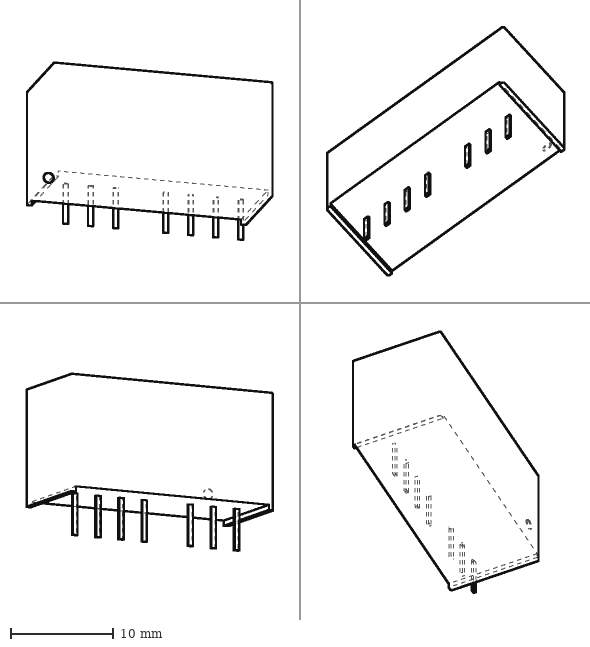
import cadquery as cq

LENGTH = 22.3
WIDTH = 9.6
TOTAL_HEIGHT = 15.3
EDGE_RADIUS = 0.2
FOOT_SIZE = 0.51

PIN_WIDTH = 0.5
PIN_THICKNESS = 0.25
PIN_LENGTH = 4.1
PIN_PITCH = 2.55
PIN_ROW_Y = 1.25
PIN_POSITIONS = 8
EMPTY_POSITION = 3

MARKER_DIAMETER = 1.0
MARKER_DEPTH = 0.11
MARKER_HEIGHT = 2.5

UNDERSIDE_Z = PIN_LENGTH
FOOT_BOTTOM_Z = UNDERSIDE_Z - FOOT_SIZE
FRONT_Y = -WIDTH / 2
FIRST_PIN_X = -PIN_PITCH * (PIN_POSITIONS - 1) / 2


def make_marker():
    """Disc that fills the recess in the front face, above the first pin."""
    return (
        cq.Workplane("XZ", origin=(FIRST_PIN_X, FRONT_Y, UNDERSIDE_Z + MARKER_HEIGHT))
        .circle(MARKER_DIAMETER / 2)
        .extrude(-MARKER_DEPTH)
    )


def make_housing():
    """Rounded block with a channel between the feet and a recess for the marker."""
    block = (
        cq.Workplane("XY", origin=(0, 0, FOOT_BOTTOM_Z))
        .rect(LENGTH, WIDTH)
        .extrude(TOTAL_HEIGHT - FOOT_BOTTOM_Z)
        .edges("|Z or >Z")
        .fillet(EDGE_RADIUS)
    )
    channel = (
        cq.Workplane("XY", origin=(0, 0, FOOT_BOTTOM_Z))
        .rect(LENGTH - 2 * FOOT_SIZE, WIDTH)
        .extrude(FOOT_SIZE)
    )
    return block.cut(channel).cut(make_marker())


def make_pin(position):
    """Flat blade hanging from the underside at the given row position."""
    x = FIRST_PIN_X + position * PIN_PITCH
    return (
        cq.Workplane("XY", origin=(x, PIN_ROW_Y, 0))
        .rect(PIN_WIDTH, PIN_THICKNESS)
        .extrude(PIN_LENGTH)
    )


housing = make_housing()
marker = make_marker()
pins = []
for position in range(PIN_POSITIONS):
    if position != EMPTY_POSITION:
        pins.append(make_pin(position).val())

result = cq.Compound.makeCompound([housing.val(), marker.val(), *pins])